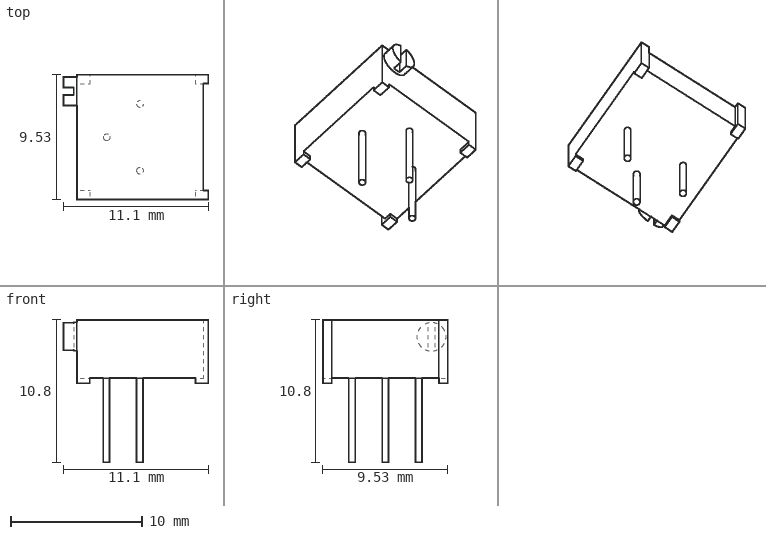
import cadquery as cq

total_length = 11.06
total_height = 10.85

housing_length = 10.03
housing_width = 9.53
housing_height = 4.83
foot_length = 1.0
foot_width = 0.7
foot_height = 0.4
back_recess_depth = 0.39
underside_z = foot_height - housing_height

screw_diameter = 2.19
screw_edge_distance = 1.27
screw_length = total_length - housing_length
screw_y = housing_width / 2 - screw_edge_distance
screw_z = -screw_edge_distance
slot_width = 0.55
slot_depth = 0.79

pin_diameter = 0.51
pin_pitch = 2.54
middle_pin_x = 2.26
outer_pin_x = middle_pin_x + pin_pitch
pin_length = total_height + underside_z
pin_places = [(outer_pin_x, -pin_pitch), (middle_pin_x, 0), (outer_pin_x, pin_pitch)]


def make_housing():
    """Block with a foot at each corner and a shallow recess in its +X face."""
    block = cq.Workplane("XY").box(
        housing_length, housing_width, housing_height, centered=(False, True, False)
    ).translate((0, 0, -housing_height))

    lengthwise_channel = cq.Workplane("XY").box(
        housing_length, housing_width - 2 * foot_width, foot_height, centered=(False, True, False)
    ).translate((0, 0, -housing_height))
    crosswise_channel = cq.Workplane("XY").box(
        housing_length - 2 * foot_length, housing_width, foot_height, centered=(False, True, False)
    ).translate((foot_length, 0, -housing_height))

    back_recess = cq.Workplane("XY").box(
        back_recess_depth, housing_width - 2 * foot_width, housing_height, centered=(False, True, False)
    ).translate((housing_length - back_recess_depth, 0, -housing_height))

    return block.cut(lengthwise_channel).cut(crosswise_channel).cut(back_recess)


def make_screw():
    """Round screw head with a vertical screwdriver slot, standing on the housing."""
    head = cq.Workplane("YZ").circle(screw_diameter / 2).extrude(-screw_length)
    slot = cq.Workplane("XY").box(
        slot_depth, slot_width, screw_diameter, centered=(False, True, True)
    ).translate((-screw_length, 0, 0))
    return head.cut(slot).translate((0, screw_y, screw_z))


def make_pin(x, y):
    """Straight round pin hanging from the housing underside."""
    pin = cq.Workplane("XY").circle(pin_diameter / 2).extrude(-pin_length)
    return pin.translate((x, y, underside_z))


housing = make_housing()
screw = make_screw()
pins = [make_pin(x, y).val() for x, y in pin_places]

result = cq.Compound.makeCompound([housing.val(), screw.val(), *pins])